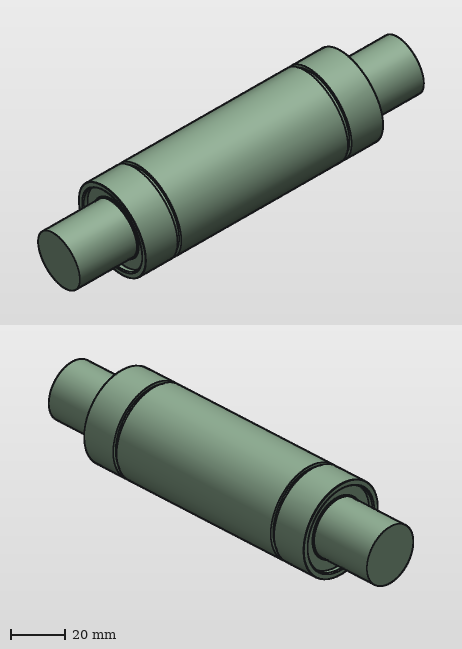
import cadquery as cq

shaft_length = 162.0
shaft_diameter = 25.0

sleeve_length = 112.0
sleeve_diameter = 40.0
rim_chamfer = 0.2

groove_diameter = 37.5
groove_width = 1.8
groove_outer_span = 82.0

seal_diameter = 34.8
seal_depth = 2.3
mouth_chamfer = 0.5

lip_diameter = 26.0
lip_height = 0.5


def end_profile():
    """(radius, y) corners of the +Y end, from the shaft tip to the groove."""
    shaft_end = shaft_length / 2
    sleeve_end = sleeve_length / 2
    seal_face = sleeve_end - seal_depth
    lip_top = seal_face + lip_height
    groove_end = groove_outer_span / 2
    groove_start = groove_end - groove_width

    shaft_radius = shaft_diameter / 2
    lip_radius = lip_diameter / 2
    seal_radius = seal_diameter / 2
    sleeve_radius = sleeve_diameter / 2
    groove_radius = groove_diameter / 2

    shaft = [(0, shaft_end), (shaft_radius, shaft_end)]
    lip = [(shaft_radius, lip_top), (lip_radius, lip_top), (lip_radius, seal_face)]
    recess = [
        (seal_radius, seal_face),
        (seal_radius, sleeve_end - mouth_chamfer),
        (seal_radius + mouth_chamfer, sleeve_end),
    ]
    rim = [
        (sleeve_radius - rim_chamfer, sleeve_end),
        (sleeve_radius, sleeve_end - rim_chamfer),
    ]
    groove = [
        (sleeve_radius, groove_end),
        (groove_radius, groove_end),
        (groove_radius, groove_start),
        (sleeve_radius, groove_start),
    ]
    return shaft + lip + recess + rim + groove


upper_end = end_profile()
lower_end = [(radius, -y) for radius, y in reversed(upper_end)]
outline = cq.Workplane("XY").polyline(upper_end + lower_end).close()

result = outline.revolve(360, (0, 0), (0, 1))